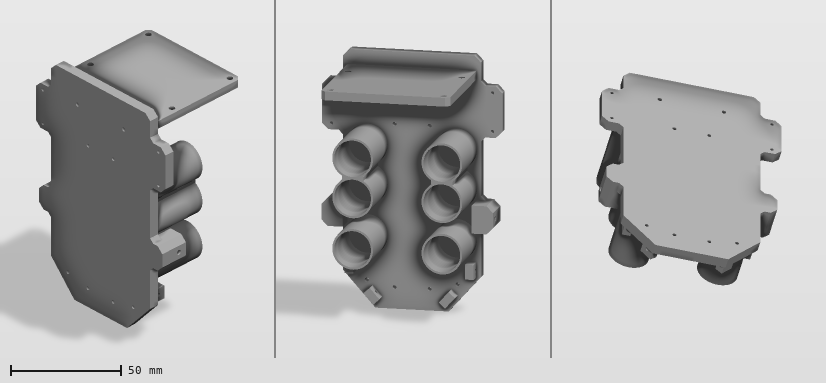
import cadquery as cq
import math

PLATE_THICK = 5.0
PLATE_HEIGHT = 120.0
PLATE_HALF_WIDTH = 32.0
FOOT_HALF_WIDTH = 17.0
SHOULDER_Z = 16.8
CORNER_CHAMFER = 3.0
NECK_CHAMFER = 2.0

UPPER_EAR_HALF_WIDTH = 42.0
UPPER_EAR_Z = (82.1, 106.1)
LOWER_EAR_HALF_WIDTH = 40.0
LOWER_EAR_Z = (39.4, 52.5)

PLATE_HOLE_PAIRS = [
    (15.0, 105.0, 2.0),
    (37.5, 103.0, 1.5),
    (37.5, 85.0, 1.5),
    (8.2, 86.2, 1.8),
    (8.2, 10.0, 1.8),
    (21.1, 12.8, 1.8),
]

SHELF_HALF_WIDTH = 30.0
SHELF_END_Y = 60.0
SHELF_BOTTOM_Z = 109.0
SHELF_THICK = 4.1
SHELF_CHAMFER = 2.0
SHELF_HOLE_DIA = 3.0
SHELF_HOLE_X = 26.4
SHELF_HOLE_Y = (19.5, 56.3)
RIB_THICK = 4.0
RIB_LENGTH = 25.0
RIB_DEPTH = 10.0

SLEEVE_DIA = 19.0
SLEEVE_BORE_DIA = 17.0
SLEEVE_LENGTH = 30.0
SLEEVE_X = 20.8
SLEEVE_Z = (34.0, 58.0, 76.2)
WEB_WIDTH = 10.0
WEB_HEIGHT = 1.7

EAR_LUG_LENGTH = 10.0
EAR_LUG_INNER_X = 30.0
EAR_LUG_HOLE_DIA = 2.5
EAR_LUG_HOLE_Y = 10.5
SMALL_LUG_WIDTH = 6.8
SMALL_LUG_THICK = 4.0
SMALL_LUG_LENGTH = 6.0
SMALL_LUG_INSET = 2.0
FOOT_LUG_Z = 5.3
SMALL_LUG_HOLE_DIA = 1.8
SMALL_LUG_HOLE_Y = 7.3

SIDES = (-1, 1)


def prism(points, start_y, length):
    """Extrude an XZ outline by length towards +Y, starting at start_y."""
    plane = cq.Workplane("XZ", origin=(0, start_y, 0))
    return plane.polyline(points).close().extrude(-length)


def cylinder_y(x, z, diameter, start_y, length):
    """Round bar along +Y."""
    plane = cq.Workplane("XZ", origin=(x, start_y, z))
    return plane.circle(diameter / 2).extrude(-length)


def cylinder_x(y, z, diameter, half_length):
    """Round bar along X, centred on X = 0."""
    plane = cq.Workplane("YZ", origin=(0, y, z))
    return plane.circle(diameter / 2).extrude(half_length, both=True)


def box(x_range, y_range, z_range):
    """Axis-aligned block from three (low, high) ranges."""
    lows, highs = zip(x_range, y_range, z_range)
    sizes = [high - low for low, high in zip(lows, highs)]
    return cq.Workplane("XY").box(*sizes, centered=False).translate(lows)


def ear_edge(half_width, z_range):
    """Right-hand outline of an ear, from its lower neck to its upper neck."""
    low, high = z_range
    return [
        (PLATE_HALF_WIDTH, low - NECK_CHAMFER),
        (PLATE_HALF_WIDTH + NECK_CHAMFER, low),
        (half_width - CORNER_CHAMFER, low),
        (half_width, low + CORNER_CHAMFER),
        (half_width, high - CORNER_CHAMFER),
        (half_width - CORNER_CHAMFER, high),
        (PLATE_HALF_WIDTH + NECK_CHAMFER, high),
        (PLATE_HALF_WIDTH, high + NECK_CHAMFER),
    ]


def make_plate():
    """Base plate outline, mirrored about X = 0, with its through holes."""
    right_edge = [
        (FOOT_HALF_WIDTH, 0),
        (PLATE_HALF_WIDTH, SHOULDER_Z),
        *ear_edge(LOWER_EAR_HALF_WIDTH, LOWER_EAR_Z),
        *ear_edge(UPPER_EAR_HALF_WIDTH, UPPER_EAR_Z),
        (PLATE_HALF_WIDTH, PLATE_HEIGHT - CORNER_CHAMFER),
        (PLATE_HALF_WIDTH - CORNER_CHAMFER, PLATE_HEIGHT),
    ]
    left_edge = [(-x, z) for x, z in reversed(right_edge)]
    plate = prism(right_edge + left_edge, 0, PLATE_THICK)
    for x, z, diameter in PLATE_HOLE_PAIRS:
        for side in SIDES:
            plate = plate.cut(cylinder_y(side * x, z, diameter, 0, PLATE_THICK))
    return plate


def make_shelf():
    """Flat shelf standing out from the back of the plate."""
    shelf = box(
        (-SHELF_HALF_WIDTH, SHELF_HALF_WIDTH),
        (PLATE_THICK, SHELF_END_Y),
        (SHELF_BOTTOM_Z, SHELF_BOTTOM_Z + SHELF_THICK),
    )
    shelf = shelf.faces(">Y").edges("|Z").chamfer(SHELF_CHAMFER)
    hole_centers = [(side * SHELF_HOLE_X, y) for side in SIDES for y in SHELF_HOLE_Y]
    holes = (
        cq.Workplane("XY", origin=(0, 0, SHELF_BOTTOM_Z))
        .pushPoints(hole_centers)
        .circle(SHELF_HOLE_DIA / 2)
        .extrude(SHELF_THICK)
    )
    return shelf.cut(holes)


def make_rib():
    """Triangular rib under the middle of the shelf."""
    corners = [
        (PLATE_THICK, SHELF_BOTTOM_Z),
        (PLATE_THICK + RIB_LENGTH, SHELF_BOTTOM_Z),
        (PLATE_THICK, SHELF_BOTTOM_Z - RIB_DEPTH),
    ]
    return cq.Workplane("YZ").polyline(corners).close().extrude(RIB_THICK / 2, both=True)


def make_sleeves(x):
    """One column of sleeves; a web fills the groove between the upper two."""
    web_z = (SLEEVE_Z[1] + SLEEVE_Z[2]) / 2
    column = box(
        (x - WEB_WIDTH / 2, x + WEB_WIDTH / 2),
        (PLATE_THICK, PLATE_THICK + SLEEVE_LENGTH),
        (web_z - WEB_HEIGHT / 2, web_z + WEB_HEIGHT / 2),
    )
    for z in SLEEVE_Z:
        column = column.union(cylinder_y(x, z, SLEEVE_DIA, PLATE_THICK, SLEEVE_LENGTH))
    for z in SLEEVE_Z:
        column = column.cut(cylinder_y(x, z, SLEEVE_BORE_DIA, PLATE_THICK, SLEEVE_LENGTH))
    return column


def make_ear_lug():
    """Right-hand lug behind the lower ear, following the ear outline."""
    low, high = LOWER_EAR_Z
    outer = LOWER_EAR_HALF_WIDTH
    outline = [
        (EAR_LUG_INNER_X, low),
        (outer - CORNER_CHAMFER, low),
        (outer, low + CORNER_CHAMFER),
        (outer, high - CORNER_CHAMFER),
        (outer - CORNER_CHAMFER, high),
        (EAR_LUG_INNER_X, high),
    ]
    lug = prism(outline, PLATE_THICK, EAR_LUG_LENGTH)
    return lug.cut(cylinder_x(EAR_LUG_HOLE_Y, (low + high) / 2, EAR_LUG_HOLE_DIA, outer))


def make_small_lug():
    """Small lug with its outer face at X = 0 and its middle at Z = 0."""
    lug = box(
        (-SMALL_LUG_THICK, 0),
        (PLATE_THICK, PLATE_THICK + SMALL_LUG_LENGTH),
        (-SMALL_LUG_WIDTH / 2, SMALL_LUG_WIDTH / 2),
    )
    return lug.cut(cylinder_x(SMALL_LUG_HOLE_Y, 0, SMALL_LUG_HOLE_DIA, SMALL_LUG_THICK))


def make_side_lug():
    """Small lug just above the shoulder, set in from the straight plate side."""
    face_x = PLATE_HALF_WIDTH - SMALL_LUG_INSET
    return make_small_lug().translate((face_x, 0, SHOULDER_Z + SMALL_LUG_WIDTH / 2))


def make_foot_lug():
    """Small lug turned parallel to the sloping foot edge and set in from it."""
    foot_run = PLATE_HALF_WIDTH - FOOT_HALF_WIDTH
    tilt = math.atan2(foot_run, SHOULDER_Z)
    edge_x = FOOT_HALF_WIDTH + FOOT_LUG_Z * foot_run / SHOULDER_Z
    face_x = edge_x - SMALL_LUG_INSET / math.cos(tilt)
    lug = make_small_lug().rotate((0, 0, 0), (0, 1, 0), math.degrees(tilt))
    return lug.translate((face_x, 0, FOOT_LUG_Z))


result = make_plate().union(make_shelf()).union(make_rib())
for side in SIDES:
    result = result.union(make_sleeves(side * SLEEVE_X))
for lug in (make_ear_lug(), make_side_lug(), make_foot_lug()):
    result = result.union(lug).union(lug.mirror("YZ"))